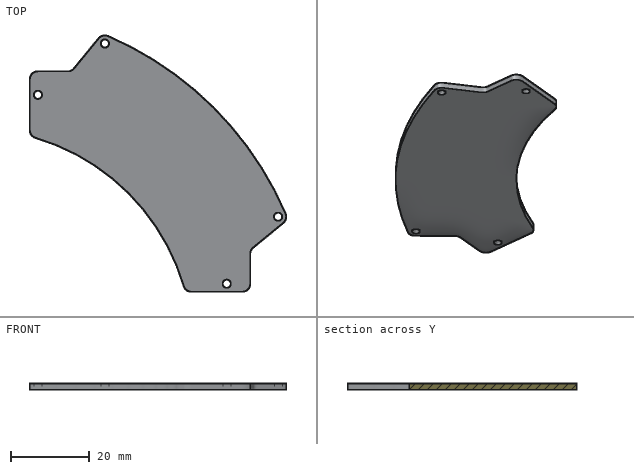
import cadquery as cq
import math

side = 65.0
thickness = 1.6
arc_center = -14.3
inner_radius = 55.6
tab_end = 55.9
flank_angle = math.radians(50.7)
corner_radius = 2.1
notch_radius = 1.95
hole_diameter = 2.0
tip_hole_offset = 19.05
tab_hole_offset = 49.95

tip_hole = (tip_hole_offset, side - corner_radius)
tab_hole = (corner_radius, tab_hole_offset)
outer_radius = math.hypot(tip_hole[0] - arc_center, tip_hole[1] - arc_center) + corner_radius

flank_x = math.cos(flank_angle)
flank_y = math.sin(flank_angle)
touch_x = tip_hole[0] - corner_radius * flank_y
touch_y = tip_hole[1] + corner_radius * flank_x

from_center_x = touch_x - arc_center
from_center_y = touch_y - arc_center
along = from_center_x * flank_x + from_center_y * flank_y
across = from_center_x * flank_y - from_center_y * flank_x
to_tip = math.sqrt(outer_radius**2 - across**2) - along
tip = (touch_x + to_tip * flank_x, touch_y + to_tip * flank_y)

notch = (touch_x + (tab_end - touch_y) * flank_x / flank_y, tab_end)
tab_corner = (0.0, tab_end)
inner_corner = (0.0, arc_center + math.sqrt(inner_radius**2 - arc_center**2))


def mirrored(point):
    """Reflect a point across the line y = x."""
    return (point[1], point[0])


def arc_middle(radius):
    """Point of an arc on the symmetry line."""
    coordinate = arc_center + radius / math.sqrt(2)
    return (coordinate, coordinate)


def round_corners(body, points, radius):
    """Fillet the vertical edges standing on the given outline points."""
    for x, y in points:
        edge = cq.selectors.NearestToPointSelector((x, y, thickness / 2))
        body = body.edges("|Z").edges(edge).fillet(radius)
    return body


plate = (
    cq.Workplane("XY")
    .moveTo(*inner_corner)
    .lineTo(*tab_corner)
    .lineTo(*notch)
    .lineTo(*tip)
    .threePointArc(arc_middle(outer_radius), mirrored(tip))
    .lineTo(*mirrored(notch))
    .lineTo(*mirrored(tab_corner))
    .lineTo(*mirrored(inner_corner))
    .threePointArc(arc_middle(inner_radius), inner_corner)
    .close()
    .extrude(thickness)
)

outside_corners = [inner_corner, tab_corner, tip]
outside_corners += [mirrored(point) for point in outside_corners]
plate = round_corners(plate, outside_corners, corner_radius)
plate = round_corners(plate, [notch, mirrored(notch)], notch_radius)

holes = [tip_hole, tab_hole, mirrored(tip_hole), mirrored(tab_hole)]
hole_cutters = (
    cq.Workplane("XY").pushPoints(holes).circle(hole_diameter / 2).extrude(thickness)
)
result = plate.cut(hole_cutters)